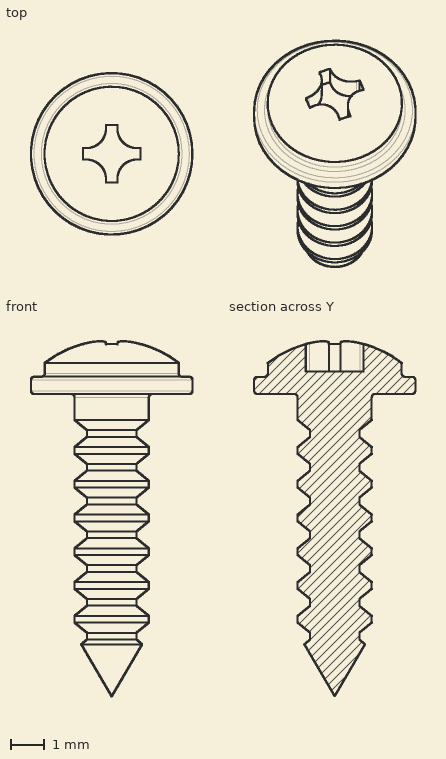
import cadquery as cq
import math

total_length = 10.56

flange_diameter = 4.8
flange_radius = flange_diameter / 2
flange_thickness = 0.52
head_radius = 2.0
drum_height = 0.41
edge_round = 0.1
dome_rim_z = 9.92
drum_base_z = dome_rim_z - drum_height
flange_base_z = drum_base_z - flange_thickness

arm_half_width = 0.17
arm_reach = 0.86
corner_radius = 0.58
recess_depth = 0.9
corner_center = arm_half_width + corner_radius
recess_corner_distance = corner_center * math.sqrt(2) - corner_radius

dome_rise = total_length - dome_rim_z
dome_center_drop = (head_radius**2 - recess_corner_distance**2 - dome_rise**2) / (2 * dome_rise)
dome_radius = math.hypot(head_radius, dome_center_drop)
dome_apex_z = dome_rim_z - dome_center_drop + dome_radius

crest_radius = 1.11
core_radius = 0.74
thread_pitch = 1.0
groove_count = 7
flat_length = 0.2
flank_length = (thread_pitch - 2 * flat_length) / 2
shank_end_z = 8.22

tip_radius = 0.91
tip_length = 1.55


def make_body():
    """Revolve the half profile, from the dome apex outwards and down to the point."""
    mid_radius = head_radius / 2
    mid_z = dome_apex_z - dome_radius + math.sqrt(dome_radius**2 - mid_radius**2)
    profile = (
        cq.Workplane("XZ")
        .moveTo(0, dome_apex_z)
        .threePointArc((mid_radius, mid_z), (head_radius, dome_rim_z))
        .lineTo(head_radius, drum_base_z + edge_round)
        .radiusArc((head_radius + edge_round, drum_base_z), -edge_round)
        .lineTo(flange_radius - edge_round, drum_base_z)
        .radiusArc((flange_radius, drum_base_z - edge_round), edge_round)
        .lineTo(flange_radius, flange_base_z + edge_round)
        .radiusArc((flange_radius - edge_round, flange_base_z), edge_round)
        .lineTo(crest_radius + edge_round, flange_base_z)
        .radiusArc((crest_radius, flange_base_z - edge_round), -edge_round)
    )
    for groove in range(groove_count):
        crest_end_z = shank_end_z - groove * thread_pitch
        root_start_z = crest_end_z - flank_length
        root_end_z = root_start_z - flat_length
        profile = (
            profile.lineTo(crest_radius, crest_end_z)
            .lineTo(core_radius, root_start_z)
            .lineTo(core_radius, root_end_z)
        )
        if groove < groove_count - 1:
            profile = profile.lineTo(crest_radius, root_end_z - flank_length)
    profile = profile.lineTo(tip_radius, tip_length).lineTo(0, 0).close()
    return profile.revolve(360, (0, 0, 0), (0, 1, 0))


def make_recess():
    """Straight-walled cross, cut down from above the dome."""
    cutter_height = recess_depth + dome_apex_z - total_length
    floor = cq.Workplane("XY").workplane(offset=total_length - recess_depth)
    square = floor.rect(2 * corner_center, 2 * corner_center).extrude(cutter_height)
    corners = (
        floor.rect(2 * corner_center, 2 * corner_center, forConstruction=True)
        .vertices()
        .circle(corner_radius)
        .extrude(cutter_height)
    )
    arm_x = floor.rect(2 * arm_reach, 2 * arm_half_width).extrude(cutter_height)
    arm_y = floor.rect(2 * arm_half_width, 2 * arm_reach).extrude(cutter_height)
    return square.cut(corners).union(arm_x).union(arm_y)


result = make_body().cut(make_recess())